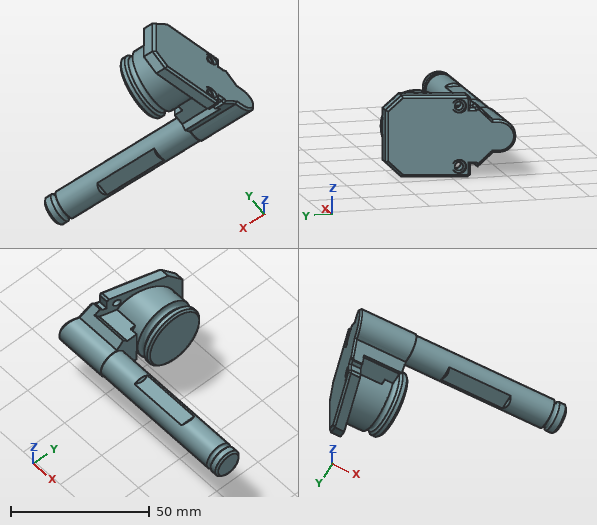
import cadquery as cq
import math


length = 85.45

lug_radius = 6.1
lug_flat_end_y = 1.9

plate_top_y = 39.4
plate_half_height = 30.2 / 2
plate_side_y = 9.8
plate_thickness_x = 4.7
plate_tilt_angle = math.radians(15)
plate_slope = math.tan(plate_tilt_angle)
plate_corner_y = 5.6
plate_corner_z = 5.5
bevel = 0.85
plate_crest_z = 11.4
plate_ledge_z = 10.4

housing_end_x = 23.0
housing_crest_z = 9.15
housing_ledge_z = 7.3
relief_x = 19.65

drum_y = 24.2
drum_radius = 25.4 / 2
drum_end_x = 23.5
groove_radius = 1.3
groove_floor_radius = 10.3
rim_end_x = 29.4
rim_inner_bevel = 0.9
rim_outer_bevel = 0.8

rod_radius = 11.45 / 2
rod_chamfer = 0.8
ring_groove_radius = 9.5 / 2
ring_groove_start_x = 80.15
ring_groove_width = 2.05
ring_groove_fillet = 0.8
flat_start_x = 38.1
flat_end_x = 63.5
flat_z = 9.65 / 2

hole_diameter = 3.1
hole_y = 13.8
hole_z = 11.2
counterbore_diameter = 4.9
counterbore_floor_x = 5.6

slant_zero_y = -lug_radius + bevel * math.cos(plate_tilt_angle)


def slant_x(y):
    """X of the slanted front face at height y along Y."""
    return (y - slant_zero_y) * plate_slope


def flank(crest_z, ledge_z):
    """Upper points from the lug side up the 45 degree flank and down to the ledge."""
    crest_y = lug_flat_end_y + crest_z - lug_radius
    return [
        (lug_flat_end_y, lug_radius),
        (crest_y, crest_z),
        (crest_y + crest_z - ledge_z, ledge_z),
    ]


def symmetric_prism(upper_points, end_x):
    """Prism along X whose outline is the lug arc plus the upper points and their mirror image.

    It starts a bevel width before X = 0, where the unbevelled tip of the lug lies.
    """
    lower_points = [(y, -z) for y, z in reversed(upper_points)]
    return (
        cq.Workplane("YZ", origin=(-bevel, 0, 0))
        .moveTo(0, -lug_radius)
        .threePointArc((-lug_radius, 0), (0, lug_radius))
        .polyline(upper_points + lower_points, includeCurrent=True)
        .close()
        .extrude(end_x + bevel)
    )


def slanted_slab(near_offset, far_offset):
    """Block between two planes parallel to the slanted face, offset along X."""
    low_y = -2 * lug_radius
    high_y = plate_top_y + lug_radius
    return (
        cq.Workplane("XY", origin=(0, 0, -length / 2))
        .polyline([
            (slant_x(low_y) + near_offset, low_y),
            (slant_x(low_y) + far_offset, low_y),
            (slant_x(high_y) + far_offset, high_y),
            (slant_x(high_y) + near_offset, high_y),
        ])
        .close()
        .extrude(length)
    )


def make_plate():
    """Slanted plate with the full outline and a bevel all round its front face."""
    outline = flank(plate_crest_z, plate_ledge_z) + [
        (plate_side_y, plate_ledge_z),
        (plate_side_y, plate_half_height - bevel),
        (plate_side_y + bevel, plate_half_height),
        (plate_top_y - plate_corner_y, plate_half_height),
        (plate_top_y, plate_half_height - plate_corner_z),
    ]
    plate = symmetric_prism(outline, housing_end_x).intersect(slanted_slab(0, plate_thickness_x))
    face_normal = cq.Vector(-1, plate_slope, 0)
    front_face = cq.selectors.DirectionMinMaxSelector(face_normal)
    return plate.faces(front_face).edges().chamfer(bevel)


def make_housing():
    """Housing behind the plate, cut back beside the end of the drum."""
    outline = flank(housing_crest_z, housing_ledge_z) + [(drum_y, housing_ledge_z)]
    housing = symmetric_prism(outline, housing_end_x).intersect(slanted_slab(plate_thickness_x / 2, length))
    relief = cq.Workplane("XY").box(length, length, length, centered=(False, False, True))
    return housing.cut(relief.translate((relief_x, drum_y - drum_radius, 0)))


def make_drum():
    """Turned drum with a half-round groove and a bevelled rim."""
    groove_centre_radius = groove_floor_radius + groove_radius
    rim_start_x = drum_end_x + 2 * groove_radius
    drum = (
        cq.Workplane("XY")
        .moveTo(0, 0)
        .lineTo(0, drum_radius)
        .lineTo(drum_end_x, drum_radius)
        .lineTo(drum_end_x, groove_centre_radius)
        .threePointArc((drum_end_x + groove_radius, groove_floor_radius), (rim_start_x, groove_centre_radius))
        .lineTo(rim_start_x, drum_radius - rim_inner_bevel)
        .lineTo(rim_start_x + rim_inner_bevel, drum_radius)
        .lineTo(rim_end_x - rim_outer_bevel, drum_radius)
        .lineTo(rim_end_x, drum_radius - rim_outer_bevel)
        .lineTo(rim_end_x, 0)
        .close()
        .revolve(360, (0, 0, 0), (1, 0, 0))
    )
    return drum.translate((0, drum_y, 0)).intersect(slanted_slab(plate_thickness_x / 2, length))


def make_flat_cutter():
    """Cutter for the upper rod flat: conical at its start, a 45 degree ramp at its end."""
    rise = rod_radius
    cutter = (
        cq.Workplane("XZ", origin=(0, rod_radius, 0))
        .polyline([
            (flat_start_x, flat_z),
            (flat_end_x, flat_z),
            (flat_end_x + rise, flat_z + rise),
            (flat_start_x, flat_z + rise),
        ])
        .close()
        .extrude(2 * rod_radius)
    )
    cone = cq.Solid.makeCone(
        rod_radius, 0, rod_radius, pnt=cq.Vector(flat_start_x, 0, 0), dir=cq.Vector(1, 0, 0)
    )
    return cutter.cut(cq.Workplane(cone))


def make_rod():
    """Rod with a ring groove near its free end and two opposite flats."""
    start_x = housing_end_x - lug_radius
    rod = cq.Workplane("YZ", origin=(start_x, 0, 0)).circle(rod_radius).extrude(length - start_x)
    rod = rod.faces(">X").chamfer(rod_chamfer)
    ring_groove = (
        cq.Workplane("YZ", origin=(ring_groove_start_x, 0, 0))
        .circle(lug_radius)
        .circle(ring_groove_radius)
        .extrude(ring_groove_width)
    )
    ring_groove = ring_groove.edges(cq.selectors.RadiusNthSelector(0)).fillet(ring_groove_fillet)
    upper_flat = make_flat_cutter()
    return rod.cut(ring_groove).cut(upper_flat).cut(upper_flat.mirror("XY"))


def make_screw_holes():
    """Through holes along X with counterbores sunk into the slanted face."""
    centres = [(hole_y, hole_z), (hole_y, -hole_z)]
    holes = cq.Workplane("YZ").pushPoints(centres).circle(hole_diameter / 2).extrude(housing_end_x)
    counterbores = (
        cq.Workplane("YZ").pushPoints(centres).circle(counterbore_diameter / 2).extrude(counterbore_floor_x)
    )
    return holes.union(counterbores)


result = (
    make_plate()
    .union(make_housing())
    .union(make_drum())
    .union(make_rod())
    .cut(make_screw_holes())
)